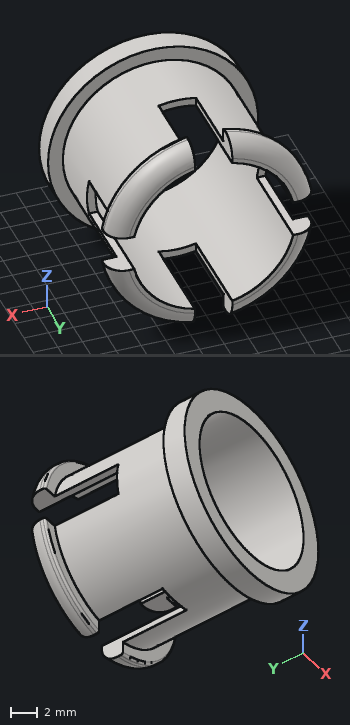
import cadquery as cq

bore_diameter = 13.2
sleeve_diameter = 14.6
flange_diameter = 17.0
flange_thickness = 2.0
lip_diameter = 17.0
lip_thickness = 2.0
lip_nose_radius = 1.5
lip_heel_radius = 0.2
total_length = 15.3
slot_width = 3.0
slot_depth = 8.0


def cylinder(diameter, start, length):
    """Solid cylinder on the Y axis, beginning at Y = start."""
    plane = cq.Plane(origin=(0, start, 0), xDir=(1, 0, 0), normal=(0, 1, 0))
    return cq.Workplane(plane).circle(diameter / 2).extrude(length)


def snap_lip():
    """Retaining lip with a rounded nose at the free end and a small round at its heel."""
    lip = cylinder(lip_diameter, total_length - lip_thickness, lip_thickness)
    lip = lip.faces(">Y").edges().fillet(lip_nose_radius)
    return lip.faces("<Y").edges().fillet(lip_heel_radius)


def cross_slots():
    """Two crossing slots that split the free end into four spring fingers."""
    slot_centre = total_length - slot_depth / 2
    slot_span = 2 * max(lip_diameter, flange_diameter)
    along_x = cq.Workplane("XY").box(slot_span, slot_depth, slot_width)
    along_z = cq.Workplane("XY").box(slot_width, slot_depth, slot_span)
    return along_x.union(along_z).translate((0, slot_centre, 0))


flange = cylinder(flange_diameter, 0, flange_thickness)
sleeve = cylinder(sleeve_diameter, 0, total_length - lip_thickness)
bore = cylinder(bore_diameter, 0, total_length)

result = flange.union(sleeve).union(snap_lip()).cut(bore).cut(cross_slots())